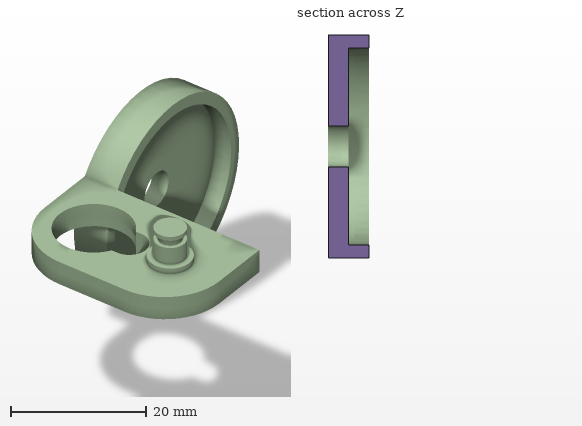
import cadquery as cq
import math

disc_diameter = 33.0
disc_thickness = 6.0
disc_hole_diameter = 6.0
recess_diameter = 29.0
disc_web_thickness = 3.0

arm_length_x = 32.0
arm_width_y = 20.0
arm_thickness = 4.0
arm_top_z = 9.0
arm_corner_radius = 10.0
arm_bottom_z = arm_top_z - arm_thickness
arm_inner_y = -math.sqrt((disc_diameter / 2) ** 2 - arm_top_z ** 2)
arm_outer_y = arm_inner_y - arm_width_y
arm_middle_y = arm_inner_y - arm_width_y / 2

keyhole_diameter = 12.5
keyhole_x = 9.0
keyhole_slot_width = 6.0
keyhole_slot_end_x = 15.5

pin_x = 23.0
pin_flange = (7.0, 1.0)
pin_body = (5.0, 3.0)
pin_neck = (3.6, 1.3)
pin_head = (5.0, 0.7)


def make_disc():
    return cq.Workplane("YZ").circle(disc_diameter / 2).extrude(disc_thickness)


def make_disc_hole():
    return cq.Workplane("YZ").circle(disc_hole_diameter / 2).extrude(disc_thickness)


def make_disc_recess():
    return (
        cq.Workplane("YZ", origin=(disc_web_thickness, 0, 0))
        .circle(recess_diameter / 2)
        .extrude(disc_thickness - disc_web_thickness)
    )


def make_arm():
    return (
        cq.Workplane("XY")
        .box(arm_length_x, arm_width_y, arm_thickness, centered=False)
        .translate((0, arm_outer_y, arm_bottom_z))
        .edges("|Z and <Y")
        .fillet(arm_corner_radius)
    )


def make_keyhole():
    plane = cq.Workplane("XY", origin=(0, arm_middle_y, arm_bottom_z))
    opening = plane.center(keyhole_x, 0).circle(keyhole_diameter / 2).extrude(arm_thickness)
    slot_end = (
        plane.center(keyhole_slot_end_x, 0).circle(keyhole_slot_width / 2).extrude(arm_thickness)
    )
    slot_length = keyhole_slot_end_x - keyhole_x
    slot = (
        plane.center(keyhole_x + slot_length / 2, 0)
        .rect(slot_length, keyhole_slot_width)
        .extrude(arm_thickness)
    )
    return opening.union(slot).union(slot_end)


def add_pin(part):
    base_z = arm_top_z
    for diameter, height in (pin_flange, pin_body, pin_neck, pin_head):
        step = (
            cq.Workplane("XY", origin=(pin_x, arm_middle_y, base_z))
            .circle(diameter / 2)
            .extrude(height)
        )
        part = part.union(step)
        base_z += height
    return part


disc = make_disc().cut(make_disc_hole()).cut(make_disc_recess())
arm = make_arm().cut(make_keyhole())
result = add_pin(disc.union(arm))